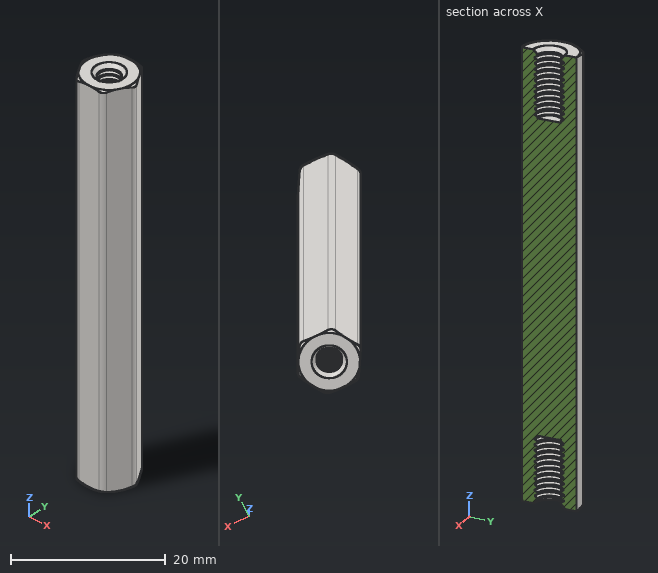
import cadquery as cq
import math

length = 63.5
across_flats = 7.95
corner_radius = 0.95

end_face_radius = 4.0
end_chamfer_angle = 30.0

minor_radius = 1.65
major_radius = 2.1
pitch = 0.795
hole_depth = 9.5
crest_width = pitch / 4
countersink_radius = 2.3

circumradius = across_flats / math.sqrt(3)


def revolve_profile(points):
    """Revolve an outline of (radius, height) points about the Z axis."""
    profile = cq.Workplane("XZ").polyline(points).close()
    return profile.revolve(360, (0, 0, 0), (0, 1, 0))


def hex_bar():
    """Hexagonal bar with two corners on the X axis and rounded long edges."""
    bar = cq.Workplane("XY").polygon(6, 2 * circumradius).extrude(length)
    return bar.edges("|Z").fillet(corner_radius)


def end_trim_envelope():
    """Round body with coned ends that trims the hexagon corners."""
    chamfer_height = (circumradius - end_face_radius) * math.tan(math.radians(end_chamfer_angle))
    return revolve_profile([
        (0, 0),
        (end_face_radius, 0),
        (circumradius, chamfer_height),
        (circumradius, length - chamfer_height),
        (end_face_radius, length),
        (0, length),
    ])


def threaded_hole():
    """Solid to cut from the top end: countersink, grooved bore and flat floor."""
    floor = length - hole_depth
    countersink_depth = countersink_radius - minor_radius
    thread_top = length - countersink_depth
    groove_count = math.floor((thread_top - floor) / pitch)
    points = [
        (0, length),
        (countersink_radius, length),
        (minor_radius, thread_top),
    ]
    for index in range(groove_count):
        groove_top = thread_top - index * pitch - crest_width
        groove_bottom = thread_top - (index + 1) * pitch
        points.append((minor_radius, groove_top))
        points.append((major_radius, (groove_top + groove_bottom) / 2))
        points.append((minor_radius, groove_bottom))
    points.append((minor_radius, floor))
    points.append((0, floor))
    return revolve_profile(points)


top_hole = threaded_hole()
bottom_hole = top_hole.mirror("XY", (0, 0, length / 2))

result = hex_bar().intersect(end_trim_envelope()).cut(top_hole).cut(bottom_hole)